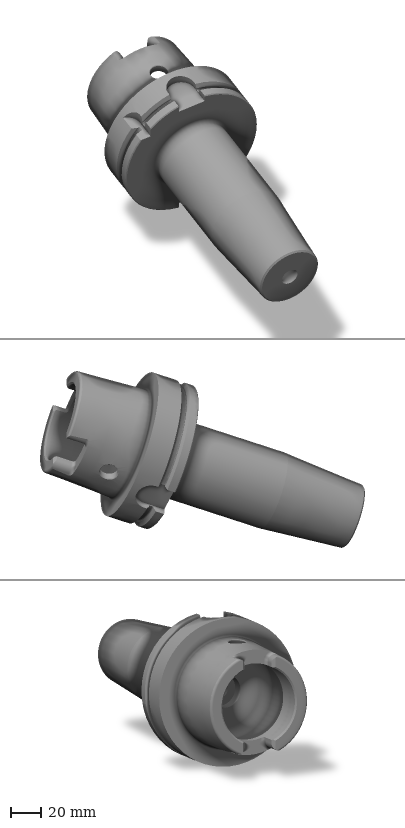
import cadquery as cq
length = 210.0
flange_start = 50.0
flange_end = 79.0
cone_start = 152.5

flange_diameter = 100.0
taper_diameter = 75.4
shank_diameter = 53.0
nose_diameter = 44.0
flange_radius = flange_diameter / 2
taper_radius = taper_diameter / 2
shank_radius = shank_diameter / 2
nose_radius = nose_diameter / 2

taper_end = 47.7
taper_slope = 0.05
taper_tip_radius = taper_radius - taper_slope * taper_end
tip_rounding = 1.7
collar_fillet = 1.3

groove_center = 69.7
groove_mouth = 6.5
groove_floor_width = 3.4
groove_floor_radius = 45.8
groove_slant_radius = 47.2
groove_fillet = 0.6

flange_chamfer = 0.6
shank_fillet = 2.0
nose_chamfer = 1.0

bore_diameter = 53.0
bore_chamfer = 1.0
undercut_diameter = 63.0
undercut_start = 19.7
cavity_floor_diameter = 50.2
cavity_fillet = (undercut_diameter - cavity_floor_diameter) / 2
cavity_depth = 54.5
coolant_seat_diameter = 22.5
coolant_seat_depth = 63.0
coolant_diameter = 12.0

access_diameter = 12.0
access_chamfer = 0.5
access_x = 35.0

notch_half_width = 9.9
notch_corner_radius = 4.8
notch_shoulder = 32.0
notch_floor_fillet = 2.0
notch_lead_in = 1.9
upper_notch_depth = 9.7
lower_notch_depth = 14.7
notch_overrun = 2.0

keyway_width = 19.7
keyway_start = 55.0
keyway_floor = 43.9
corner_keyway_floor = 31.5
corner_keyway_wall = 31.3


def revolved(points):
    """Turn a closed (x, radius) outline around the X axis."""
    return cq.Workplane("XY").polyline(points).close().revolve(360, (0, 0, 0), (1, 0, 0))


def bored(start, end, diameter):
    """Cylinder on the X axis between two stations."""
    return cq.Workplane("YZ", origin=(start, 0, 0)).circle(diameter / 2).extrude(end - start)


def outer_body():
    """Taper with rounded tip, flange, shank and conical nose."""
    return (
        cq.Workplane("XY")
        .moveTo(0, 0)
        .lineTo(0, taper_tip_radius - tip_rounding)
        .radiusArc((tip_rounding, taper_tip_radius + taper_slope * tip_rounding), tip_rounding)
        .lineTo(taper_end, taper_radius)
        .lineTo(flange_start - collar_fillet, taper_radius)
        .radiusArc((flange_start, taper_radius + collar_fillet), -collar_fillet)
        .lineTo(flange_start, flange_radius)
        .lineTo(flange_end - flange_chamfer, flange_radius)
        .lineTo(flange_end, flange_radius - flange_chamfer)
        .lineTo(flange_end, shank_radius + shank_fillet)
        .radiusArc((flange_end + shank_fillet, shank_radius), -shank_fillet)
        .lineTo(cone_start, shank_radius)
        .lineTo(length - nose_chamfer, nose_radius)
        .lineTo(length, nose_radius - nose_chamfer)
        .lineTo(length, 0)
        .close()
        .revolve(360, (0, 0, 0), (1, 0, 0))
    )


def gripper_groove():
    """Groove with slanted mouth, short straight walls and a filleted floor."""
    half_mouth = groove_mouth / 2
    half_floor = groove_floor_width / 2
    fillet_top = groove_floor_radius + groove_fillet
    wall_left = groove_center - half_floor
    wall_right = groove_center + half_floor
    return (
        cq.Workplane("XY")
        .moveTo(groove_center - half_mouth, flange_radius)
        .lineTo(wall_left, groove_slant_radius)
        .lineTo(wall_left, fillet_top)
        .radiusArc((wall_left + groove_fillet, groove_floor_radius), -groove_fillet)
        .lineTo(wall_right - groove_fillet, groove_floor_radius)
        .radiusArc((wall_right, fillet_top), -groove_fillet)
        .lineTo(wall_right, groove_slant_radius)
        .lineTo(groove_center + half_mouth, flange_radius)
        .close()
        .revolve(360, (0, 0, 0), (1, 0, 0))
    )


def cavity():
    """Chamfered bore, clamping undercut with rounded floor, coolant seat and coolant passage."""
    bore_radius = bore_diameter / 2
    mouth = revolved([
        (0, 0),
        (0, bore_radius + bore_chamfer),
        (bore_chamfer, bore_radius),
        (bore_chamfer, 0),
    ])
    undercut = bored(undercut_start, cavity_depth, undercut_diameter)
    undercut = undercut.faces(">X").edges().fillet(cavity_fillet)
    return (
        mouth
        .union(bored(0, undercut_start, bore_diameter))
        .union(undercut)
        .union(bored(0, coolant_seat_depth, coolant_seat_diameter))
        .union(bored(0, length, coolant_diameter))
    )


def drill_access_holes(body):
    """Drill across the taper and break both outer rims."""
    drill = (
        cq.Workplane("XY", origin=(access_x, 0, -flange_radius))
        .circle(access_diameter / 2)
        .extrude(flange_diameter)
    )
    reach = access_diameter
    drilled = body.cut(drill)
    for side in (-1, 1):
        rim = cq.selectors.BoxSelector(
            (access_x - reach, -reach, side * (taper_tip_radius - 2)),
            (access_x + reach, reach, side * flange_radius),
        )
        drilled = drilled.edges(rim).chamfer(access_chamfer)
    return drilled


def drive_notch(depth):
    """Notch on the +Z side of the tip, with flared rounded sides and a lead-in at the mouth."""
    flare_y = notch_half_width + notch_corner_radius
    flare_z = notch_shoulder - notch_corner_radius
    slot = (
        cq.Workplane("YZ", origin=(-notch_overrun, 0, 0))
        .moveTo(-notch_half_width, 0)
        .lineTo(-notch_half_width, flare_z)
        .radiusArc((-flare_y, notch_shoulder), -notch_corner_radius)
        .lineTo(-taper_radius, notch_shoulder)
        .lineTo(-taper_radius, flange_radius)
        .lineTo(taper_radius, flange_radius)
        .lineTo(taper_radius, notch_shoulder)
        .lineTo(flare_y, notch_shoulder)
        .radiusArc((notch_half_width, flare_z), -notch_corner_radius)
        .lineTo(notch_half_width, 0)
        .close()
        .extrude(depth + notch_overrun)
        .faces(">X").edges()
        .fillet(notch_floor_fillet)
    )
    lead_in = (
        cq.Workplane("XY")
        .polyline([
            (0, -notch_half_width - notch_lead_in),
            (notch_lead_in, -notch_half_width),
            (notch_lead_in, notch_half_width),
            (0, notch_half_width + notch_lead_in),
        ])
        .close()
        .extrude(notch_shoulder)
    )
    return slot.union(lead_in)


def keyway(center_y, floor):
    """Keyway open towards +X and +Z, with a half-round closed end."""
    half_width = keyway_width / 2
    round_x = keyway_start + half_width
    return (
        cq.Workplane("XY", origin=(0, center_y, floor))
        .moveTo(flange_end, -half_width)
        .lineTo(round_x, -half_width)
        .radiusArc((round_x, half_width), half_width)
        .lineTo(flange_end, half_width)
        .close()
        .extrude(flange_radius - floor)
    )


def turned_over(shape):
    """Swing a feature from the +Z side to the -Z side."""
    return shape.rotate((0, 0, 0), (1, 0, 0), 180)


side_keyway = keyway(0, keyway_floor)
corner_keyway = keyway(-corner_keyway_wall - keyway_width / 2, corner_keyway_floor)

result = (
    drill_access_holes(outer_body())
    .cut(gripper_groove())
    .cut(cavity())
    .cut(drive_notch(upper_notch_depth))
    .cut(turned_over(drive_notch(lower_notch_depth)))
    .cut(side_keyway)
    .cut(turned_over(side_keyway))
    .cut(corner_keyway)
)